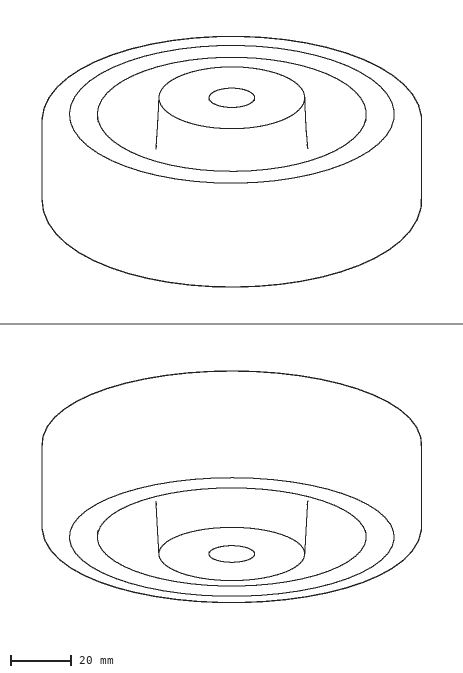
import cadquery as cq
import math

wheel_diameter = 125.0
wheel_width = 35.0
hub_length = 47.0

tyre_bore_diameter = 106.9
tyre_top_edge_radius = 2.5
tyre_bottom_edge_radius = 4.0

recess_mouth_diameter = 88.5
hub_end_diameter = 48.0
bore_diameter = 15.0
web_thickness = 6.0
draft_angle = 3.0
root_fillet = 2.0


def make_tyre():
    """Plain ring with rounded outer edges."""
    bottom = cq.Workplane("XY").workplane(offset=-wheel_width / 2)
    ring = bottom.circle(wheel_diameter / 2).extrude(wheel_width)
    ring = ring.faces(">Z").edges().fillet(tyre_top_edge_radius)
    ring = ring.faces("<Z").edges().fillet(tyre_bottom_edge_radius)
    bore = bottom.circle(tyre_bore_diameter / 2).extrude(wheel_width)
    return ring.cut(bore)


def make_core():
    """Rim, web and tapered hub, turned from one half profile and mirrored."""
    slope = math.tan(math.radians(draft_angle))
    web_face = web_thickness / 2
    rim_face = wheel_width / 2
    hub_face = hub_length / 2
    bore_radius = bore_diameter / 2
    rim_radius = tyre_bore_diameter / 2
    mouth_radius = recess_mouth_diameter / 2
    hub_end_radius = hub_end_diameter / 2
    recess_floor_radius = mouth_radius - (rim_face - web_face) * slope
    hub_root_radius = hub_end_radius + (hub_face - web_face) * slope

    half = (
        cq.Workplane("XZ")
        .moveTo(bore_radius, 0)
        .lineTo(rim_radius, 0)
        .lineTo(rim_radius, rim_face)
        .lineTo(mouth_radius, rim_face)
        .lineTo(recess_floor_radius, web_face)
        .lineTo(hub_root_radius, web_face)
        .lineTo(hub_end_radius, hub_face)
        .lineTo(bore_radius, hub_face)
        .close()
        .revolve(360, (0, 0, 0), (0, 1, 0))
    )
    web_roots = cq.selectors.BoxSelector(
        (-rim_radius, -rim_radius, web_face - root_fillet),
        (rim_radius, rim_radius, web_face + root_fillet),
    )
    half = half.edges(web_roots).fillet(root_fillet)
    return half.union(half.mirror("XY")).clean()


tyre = make_tyre()
core = make_core()

result = cq.Compound.makeCompound([tyre.val(), core.val()])